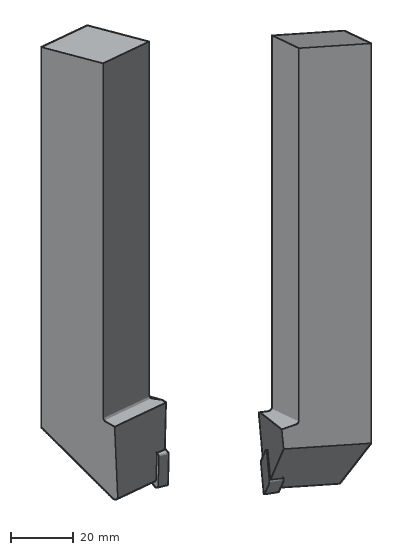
import cadquery as cq
import math

total_length = 151.35
total_width = 32.37
head_depth = 30.83

shank_size = 24.9
shoulder_z = 28.55
shoulder_slope = math.radians(15)
shoulder_fillet = 1.5

side_angle = math.radians(3)
insert_angle = math.radians(55)
end_angle = math.pi / 2 - side_angle - insert_angle
head_top_width = 29.55
end_corner_z = 20.5
nose_relief_radius = 1.2

rake_slope = math.tan(math.radians(6))

insert_edge = 11.6
insert_thickness = 4.76
insert_nose_radius = 0.8
insert_raise = 0.4


def shoulder_height(distance):
    """Height of the sloped shoulder at a distance from the shank corner, along x or y."""
    return shoulder_z - (distance - shank_size) * math.tan(shoulder_slope)


rake_start_z = shoulder_height(head_depth)
rake_normal = cq.Vector(rake_slope, 1, -rake_slope).normalized()


def rake_y(x, z):
    """Depth of the rake plane at a point (x, z)."""
    return head_depth + rake_slope * (z - rake_start_z - x)


def side_profile():
    """Shank and pointed head, outlined in XZ and extruded along Y."""
    head_top_z = shoulder_height(head_top_width)
    corner_x = (
        head_top_width + (head_top_z - end_corner_z) * math.tan(side_angle)
    ) / (1 - math.tan(end_angle) * math.tan(side_angle))
    corner_z = end_corner_z - corner_x * math.tan(end_angle)
    profile = (
        cq.Workplane("XZ")
        .moveTo(0, total_length)
        .lineTo(shank_size, total_length)
        .lineTo(shank_size, shoulder_z)
        .lineTo(head_top_width, head_top_z)
        .lineTo(corner_x, corner_z)
        .lineTo(0, end_corner_z)
        .close()
        .extrude(-head_depth)
    )
    at_shoulder = cq.selectors.NearestToPointSelector((shank_size, head_depth / 2, shoulder_z))
    at_tip = cq.selectors.NearestToPointSelector((corner_x, head_depth / 2, corner_z))
    profile = profile.edges(at_shoulder).fillet(shoulder_fillet)
    return profile.edges(at_tip).fillet(nose_relief_radius)


def depth_profile():
    """Shank and deeper head, outlined in YZ and extruded along X."""
    profile = (
        cq.Workplane("YZ")
        .moveTo(0, 0)
        .lineTo(head_depth, 0)
        .lineTo(head_depth, rake_start_z)
        .lineTo(shank_size, shoulder_z)
        .lineTo(shank_size, total_length)
        .lineTo(0, total_length)
        .close()
        .extrude(total_width)
    )
    at_shoulder = cq.selectors.NearestToPointSelector((total_width / 2, shank_size, shoulder_z))
    return profile.edges(at_shoulder).fillet(shoulder_fillet)


def rake_waste():
    """Block lying outside the rake plane, removed from the head."""
    plane = cq.Plane((0, head_depth, rake_start_z), xDir=(0, rake_slope, 1), normal=rake_normal)
    waste_size = 4 * total_width
    return cq.Workplane(plane).rect(waste_size, waste_size).extrude(head_depth)


def make_insert():
    """Rhombic insert with its top face parallel to the rake plane and its nose at the tip."""
    nose_x = total_width - insert_nose_radius * math.sqrt(1 - rake_normal.x**2)
    nose_z = insert_nose_radius * math.sqrt(1 - rake_normal.z**2)
    edge_x = -math.sin(side_angle)
    edge_z = math.cos(side_angle)
    edge_y = rake_slope * (edge_z - edge_x)
    plane = cq.Plane(
        (nose_x, rake_y(nose_x, nose_z) + insert_raise, nose_z),
        xDir=(edge_x, edge_y, edge_z),
        normal=rake_normal,
    )
    corner_x = -insert_nose_radius / math.tan(insert_angle / 2)
    corner_y = insert_nose_radius
    step_x = insert_edge * math.cos(insert_angle)
    step_y = -insert_edge * math.sin(insert_angle)
    return (
        cq.Workplane(plane)
        .moveTo(corner_x, corner_y)
        .lineTo(corner_x + insert_edge, corner_y)
        .lineTo(corner_x + insert_edge + step_x, corner_y + step_y)
        .lineTo(corner_x + step_x, corner_y + step_y)
        .close()
        .extrude(-insert_thickness)
        .edges(cq.selectors.ParallelDirSelector(rake_normal))
        .fillet(insert_nose_radius)
    )


insert = make_insert()

holder = side_profile().intersect(depth_profile()).cut(rake_waste()).cut(insert)

result = cq.Compound.makeCompound([holder.val(), insert.val()])